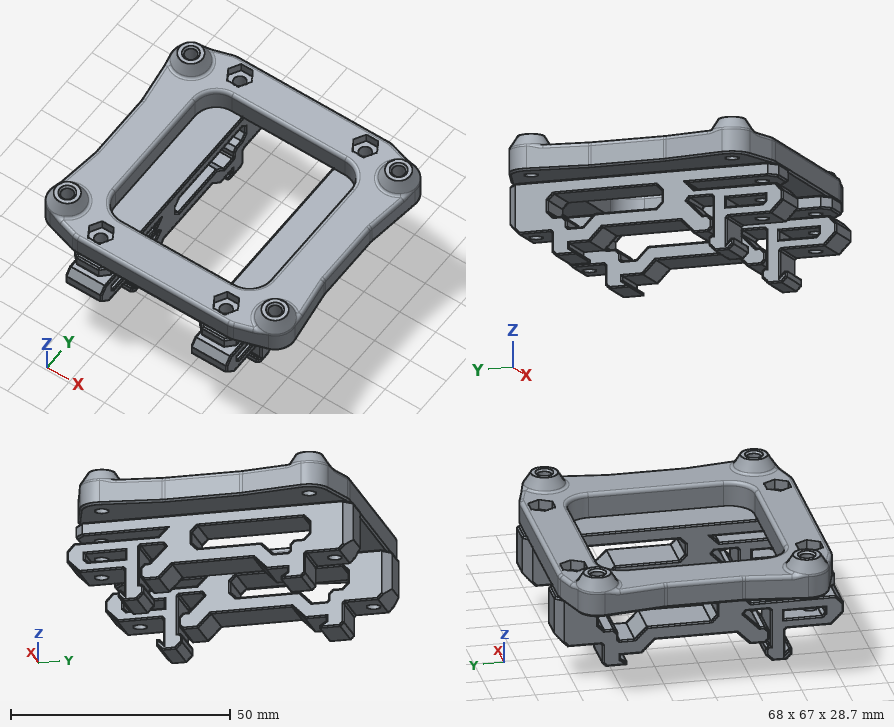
import cadquery as cq
import math

plate_length = 68.0
plate_thickness = 6.0
waist_half_x = 31.95
shoulder_half_y = 31.9
shoulder_x = 21.7
waist_y = 9.1
corner_radius = 5.0
corner_x = plate_length / 2 - corner_radius
corner_y = 24.4
bend_radius = 5.0
opening_width = 43.5
opening_radius = 6.0
top_fillet = 0.95
bottom_chamfer = 0.5

boss_height = 3.0
boss_top = plate_thickness + boss_height
boss_top_diameter = 6.25
boss_hole_diameter = 3.2
boss_hole_chamfer = 0.5

screw_x = 17.5
screw_y = 27.5
screw_hole_diameter = 3.2
nut_diameter = 6.5
nut_depth = 2.4

clip_width = 10.05
side_chamfer = 0.35
end_chamfer = 0.4
corner_bevel = 2.0
clip_half_length = 32.65
bar_bottom = -3.1
body_bottom = -11.9
jaw_bottom = -15.0
end_slope = 2.85
small_bevel = 0.9
notch = 0.4

middle_half = 9.5
jaw_drop = body_bottom - jaw_bottom

hook_bottom = -17.6
hook_outer_y = 21.75
hook_throat_y = 17.6
hook_tip_y = 16.05
hook_tip_height = 0.55
throat_bottom = -16.05

toe_y = -17.1
toe_top = -11.15
toe_top_bevel = 1.0
toe_inner_y = -14.9
pocket_corner_z = -7.4
pocket_corner_y = toe_inner_y + pocket_corner_z - toe_top
pocket_top_y = -11.7

leg_back_y = -17.35
leg_front_y = -20.75
leg_top = -6.7
latch_back_y = -16.3
latch_front_y = -22.3
latch_bottom = -19.65
latch_back_bevel = 1.5
latch_front_bevel = 1.2
latch_shoulder = 0.55
latch_tip_z = -17.1
latch_tip_width = 0.55

foot_end_y = -34.35
foot_top = -4.9
foot_shoulder_y = -32.65
foot_shoulder_z = -6.7
slot_floor_end_y = -12.85

window_bottom = -8.6
window_back_y = 22.8
window_front_y = -4.95
window_bevel = 1.4
well_bottom = -11.4
well_back_y = 18.15
well_front_y = 14.3
well_back_bevel = 1.0

foot_window_top = -7.55
foot_window_bottom = -9.6
foot_window_back_y = -20.55
foot_window_front_y = -30.1
foot_window_bevel = 0.75

pick_tolerance = 0.1

quadrants = [(sx, sy) for sx in (1, -1) for sy in (1, -1)]
boss_points = [(sx * corner_x, sy * corner_y) for sx, sy in quadrants]
screw_points = [(sx * screw_x, sy * screw_y) for sx, sy in quadrants]


def edge_picker(half_x, y_from, y_to, z):
    """Selects the edges that lie at height z between the two y values."""
    return cq.selectors.BoxSelector(
        (-half_x, y_from, z - pick_tolerance),
        (half_x, y_to, z + pick_tolerance),
        boundingbox=True,
    )


def drill(points, diameter, depth):
    """Round cutters standing on z = 0; a negative depth points them down."""
    return cq.Workplane("XY").pushPoints(points).circle(diameter / 2).extrude(depth)


def tangent_angle(px, py, turn):
    """Angle, at the corner centre, of the point where the line from (px, py) touches the corner arc."""
    dx = px - corner_x
    dy = py - corner_y
    return math.atan2(dy, dx) + turn * math.acos(corner_radius / math.hypot(dx, dy))


def corner_point(angle):
    return (corner_x + corner_radius * math.cos(angle), corner_y + corner_radius * math.sin(angle))


def outline_prism():
    """Plate without its opening: one quarter, mirrored twice, with the bends rounded."""
    waist_angle = tangent_angle(waist_half_x, waist_y, 1)
    shoulder_angle = tangent_angle(shoulder_x, shoulder_half_y, -1)
    middle_angle = (waist_angle + shoulder_angle) / 2
    quarter = (
        cq.Workplane("XY")
        .lineTo(waist_half_x, 0)
        .lineTo(waist_half_x, waist_y)
        .lineTo(*corner_point(waist_angle))
        .threePointArc(corner_point(middle_angle), corner_point(shoulder_angle))
        .lineTo(shoulder_x, shoulder_half_y)
        .lineTo(0, shoulder_half_y)
        .close()
        .extrude(plate_thickness)
    )
    half = quarter.union(quarter.mirror("YZ"))
    prism = half.union(half.mirror("XZ")).clean()

    for sx, sy in quadrants:
        for x, y in ((waist_half_x, waist_y), (shoulder_x, shoulder_half_y)):
            bend = cq.selectors.NearestToPointSelector((sx * x, sy * y, plate_thickness / 2))
            prism = prism.edges(bend).fillet(bend_radius)
    return prism


def opening():
    return (
        cq.Workplane("XY")
        .rect(opening_width, opening_width)
        .extrude(plate_thickness)
        .edges("|Z")
        .fillet(opening_radius)
    )


def boss():
    """Solid cone on a cylinder that coincides with a rounded corner of the plate."""
    return (
        cq.Workplane("XZ")
        .polyline([
            (0, bottom_chamfer),
            (corner_radius, bottom_chamfer),
            (corner_radius, plate_thickness),
            (boss_top_diameter / 2, boss_top),
            (0, boss_top),
        ])
        .close()
        .revolve(360, (0, 0, 0), (0, 1, 0))
    )


def nut_pockets():
    return (
        cq.Workplane("XY")
        .workplane(offset=plate_thickness)
        .pushPoints(screw_points)
        .polygon(6, nut_diameter)
        .extrude(-nut_depth)
    )


def make_plate():
    plate = outline_prism().faces("<Z").chamfer(bottom_chamfer)
    plate = plate.cut(opening())
    for x, y in boss_points:
        plate = plate.union(boss().translate((x, y, 0)))

    rim = edge_picker(plate_length, -plate_length, plate_length, plate_thickness)
    plate = plate.edges(rim).fillet(top_fillet)

    plate = plate.cut(drill(boss_points, boss_hole_diameter, boss_top))
    smallest_circles = cq.selectors.RadiusNthSelector(0)
    plate = plate.faces(">Z").edges(smallest_circles).chamfer(boss_hole_chamfer)

    screw_holes = drill(screw_points, screw_hole_diameter, plate_thickness)
    return plate.cut(screw_holes).cut(nut_pockets())


def clip_outline():
    """Outer outline as (y, z) points, from the top of the +Y end down and round to the -Y end."""
    back_end = [
        (clip_half_length, 0),
        (clip_half_length, body_bottom + end_slope),
        (clip_half_length - end_slope, body_bottom),
    ]
    fixed_hook = [
        (hook_outer_y + notch, body_bottom),
        (hook_outer_y, body_bottom - notch),
        (hook_outer_y, hook_bottom + small_bevel),
        (hook_outer_y - small_bevel, hook_bottom),
        (hook_tip_y, hook_bottom),
        (hook_tip_y, hook_bottom + hook_tip_height),
        (hook_throat_y, throat_bottom),
        (hook_throat_y, jaw_bottom),
    ]
    raised_middle = [
        (middle_half + jaw_drop, jaw_bottom),
        (middle_half, body_bottom),
        (-middle_half, body_bottom),
        (-middle_half - jaw_drop, jaw_bottom),
    ]
    toe = [
        (toe_y + small_bevel, jaw_bottom),
        (toe_y, jaw_bottom + small_bevel),
        (toe_y, toe_top - toe_top_bevel),
        (toe_y + toe_top_bevel, toe_top),
        (toe_inner_y, toe_top),
        (pocket_corner_y, pocket_corner_z),
        (pocket_top_y, leg_top),
    ]
    sprung_leg = [
        (leg_back_y + notch, leg_top),
        (leg_back_y, leg_top - notch),
        (leg_back_y, throat_bottom),
        (latch_back_y - latch_shoulder, throat_bottom),
        (latch_back_y, throat_bottom - latch_shoulder),
        (latch_back_y, latch_bottom + latch_back_bevel),
        (latch_back_y - latch_back_bevel, latch_bottom),
        (latch_front_y + latch_front_bevel, latch_bottom),
        (latch_front_y, latch_bottom + latch_front_bevel),
        (latch_front_y, latch_tip_z),
        (latch_front_y + latch_tip_width, latch_tip_z),
        (leg_front_y, latch_tip_z + latch_front_y + latch_tip_width - leg_front_y),
        (leg_front_y, body_bottom - notch),
        (leg_front_y - notch, body_bottom),
    ]
    foot = [
        (foot_end_y + end_slope, body_bottom),
        (foot_end_y, body_bottom + end_slope),
        (foot_end_y, foot_shoulder_z),
        (foot_shoulder_y, foot_top),
        (slot_floor_end_y, foot_top),
    ]
    top_bar = [
        (slot_floor_end_y + bar_bottom - foot_top, bar_bottom),
        (-clip_half_length, bar_bottom),
        (-clip_half_length, 0),
    ]
    return back_end + fixed_hook + raised_middle + toe + sprung_leg + foot + top_bar


def window_outline():
    return [
        (window_back_y - window_bevel, bar_bottom),
        (window_back_y, bar_bottom - window_bevel),
        (window_back_y, window_bottom + window_bevel),
        (window_back_y - window_bevel, window_bottom),
        (well_back_y + well_back_bevel, window_bottom),
        (well_back_y, window_bottom - well_back_bevel),
        (well_back_y, well_bottom + notch),
        (well_back_y - notch, well_bottom),
        (well_front_y, well_bottom),
        (well_front_y - (window_bottom - well_bottom), window_bottom),
        (window_front_y + window_bevel, window_bottom),
        (window_front_y, window_bottom + window_bevel),
        (window_front_y, bar_bottom - window_bevel),
        (window_front_y + window_bevel, bar_bottom),
    ]


def foot_window_outline():
    return [
        (foot_window_back_y, foot_window_top),
        (foot_window_front_y, foot_window_top),
        (foot_window_front_y, foot_window_bottom + foot_window_bevel),
        (foot_window_front_y + foot_window_bevel, foot_window_bottom),
        (foot_window_back_y, foot_window_bottom),
    ]


def clip_slab(outline):
    return cq.Workplane("YZ").polyline(outline).close().extrude(clip_width / 2, both=True)


def bevel_cutter(sx, sy):
    """Wedge that bevels one vertical corner; at the -Y end it reaches only the top bar."""
    side = sx * clip_width / 2
    end = sy * clip_half_length
    return (
        cq.Workplane("XY")
        .polyline([(side, end), (side - sx * corner_bevel, end), (side, end - sy * corner_bevel)])
        .close()
        .extrude(body_bottom if sy > 0 else bar_bottom)
    )


def make_clip(x):
    clip = clip_slab(clip_outline())
    clip = clip.cut(clip_slab(window_outline())).cut(clip_slab(foot_window_outline()))
    clip = clip.faces("<X or >X").chamfer(side_chamfer)
    for sx, sy in quadrants:
        clip = clip.cut(bevel_cutter(sx, sy))

    clip = clip.faces(">Z").edges("not |Y").chamfer(end_chamfer)
    bar_end = edge_picker(
        clip_width,
        -clip_half_length - pick_tolerance,
        -clip_half_length + corner_bevel + pick_tolerance,
        bar_bottom,
    )
    clip = clip.edges(bar_end).edges("not |Y").chamfer(end_chamfer)

    screw_holes = drill([(0, screw_y), (0, -screw_y)], screw_hole_diameter, body_bottom)
    return clip.cut(screw_holes).translate((x, 0, 0))


plate = make_plate()
clips = [make_clip(x) for x in (-screw_x, screw_x)]

result = cq.Compound.makeCompound([plate.val()] + [clip.val() for clip in clips])